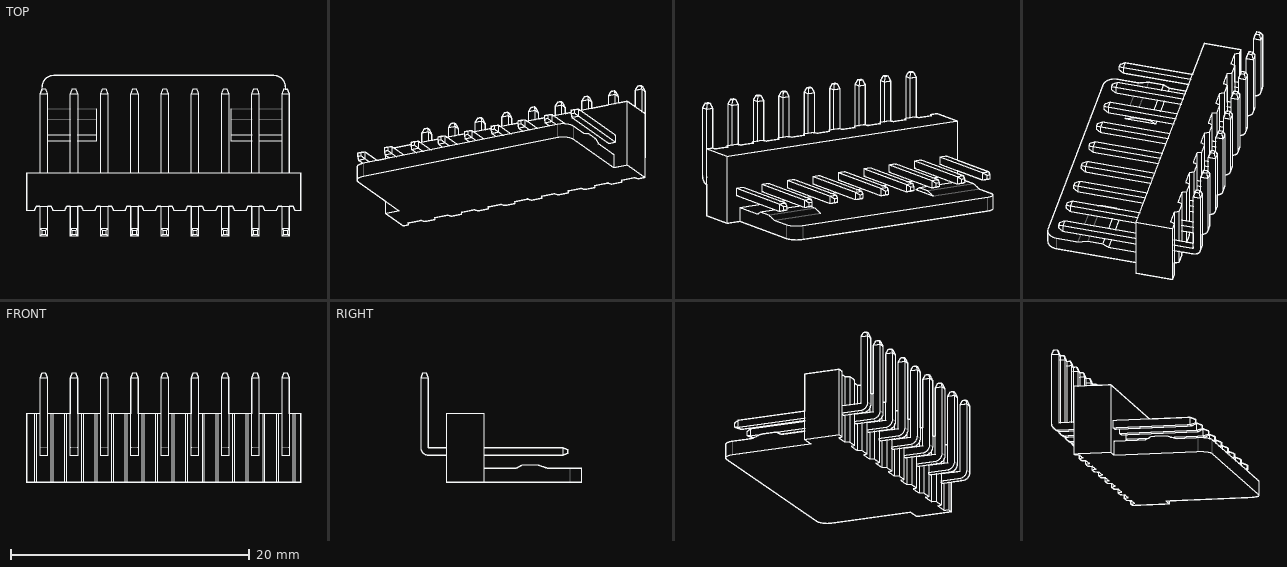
import cadquery as cq

housing_length = 23.02
housing_depth = 3.18
housing_height = 5.8

pin_count = 9
pin_pitch = 2.54
pin_row_offset = 0.08
pin_size = 0.64
pin_underside = 2.28
pin_front = -2.14
pin_top = 9.2
pin_back = 10.21
tip_length = 0.42
tip_size = 0.32

groove_depth = 0.37
groove_mouth = 1.56
groove_floor = 1.24

plate_width = 20.46
plate_back = 11.38
plate_thickness = 1.2
plate_corner_radius = 1.0

bump_width = 4.6
bump_height = 0.28
bump_front = 5.87
bump_crest_front = 6.38
bump_crest_back = 7.67
bump_back = 8.54

pin_positions = [
    pin_row_offset + (i - (pin_count - 1) / 2) * pin_pitch for i in range(pin_count)
]


def make_housing():
    housing = cq.Workplane("XY").box(
        housing_length, housing_depth, housing_height, centered=(True, False, False)
    )
    for x in pin_positions:
        housing = housing.cut(make_groove(x))
    return housing


def make_groove(x):
    """Full-height trapezoidal groove, narrowing towards its floor."""
    return (
        cq.Workplane("XY")
        .moveTo(x - groove_mouth / 2, 0)
        .lineTo(x + groove_mouth / 2, 0)
        .lineTo(x + groove_floor / 2, groove_depth)
        .lineTo(x - groove_floor / 2, groove_depth)
        .close()
        .extrude(housing_height)
    )


def make_plate():
    plate_length = plate_back - housing_depth
    return (
        cq.Workplane("XY")
        .box(plate_width, plate_length, plate_thickness, centered=(True, False, False))
        .translate((0, housing_depth, 0))
        .edges("|Z and >Y")
        .fillet(plate_corner_radius)
    )


def make_bump(x_start):
    """Ramped ridge rising from the plate's top face, running along +X from x_start."""
    crest = plate_thickness + bump_height
    return (
        cq.Workplane("YZ", origin=(x_start, 0, 0))
        .moveTo(bump_front, plate_thickness)
        .lineTo(bump_crest_front, crest)
        .lineTo(bump_crest_back, crest)
        .lineTo(bump_back, plate_thickness)
        .close()
        .extrude(bump_width)
    )


def make_tip(plane):
    """Pyramidal pin end growing along the normal of the given plane."""
    return (
        cq.Workplane(plane)
        .rect(pin_size, pin_size)
        .workplane(offset=tip_length)
        .rect(tip_size, tip_size)
        .loft(ruled=True)
    )


def make_pin(x):
    """Square L-shaped pin, rounded on the outside of the bend and sharp on the inside."""
    leg_top = pin_top - tip_length
    leg_back = pin_back - tip_length
    pin = (
        cq.Workplane("YZ", origin=(x - pin_size / 2, 0, 0))
        .moveTo(leg_back, pin_underside)
        .lineTo(leg_back, pin_underside + pin_size)
        .lineTo(pin_front + pin_size, pin_underside + pin_size)
        .lineTo(pin_front + pin_size, leg_top)
        .lineTo(pin_front, leg_top)
        .lineTo(pin_front, pin_underside + pin_size)
        .radiusArc((pin_front + pin_size, pin_underside), -pin_size)
        .close()
        .extrude(pin_size)
    )
    top_end = cq.Plane(origin=(x, pin_front + pin_size / 2, leg_top), normal=(0, 0, 1))
    back_end = cq.Plane(
        origin=(x, leg_back, pin_underside + pin_size / 2), xDir=(1, 0, 0), normal=(0, 1, 0)
    )
    return pin.union(make_tip(top_end)).union(make_tip(back_end))


result = make_housing().union(make_plate())
for bump_start in (-plate_width / 2, plate_width / 2 - bump_width):
    result = result.union(make_bump(bump_start))
for pin_x in pin_positions:
    result = result.union(make_pin(pin_x))